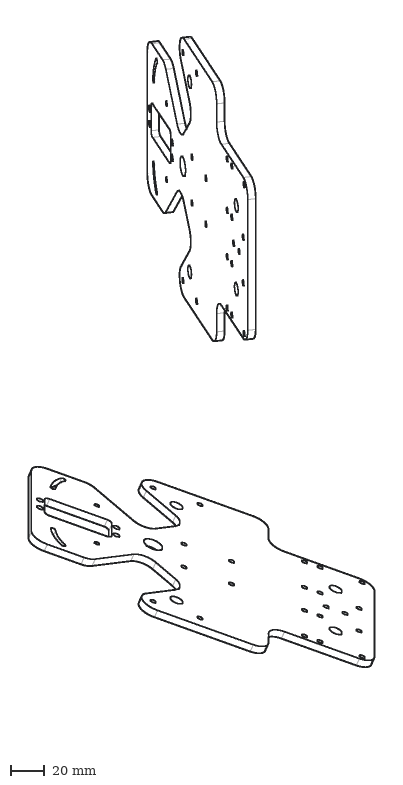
import cadquery as cq
import math

LENGTH = 220.0
WIDTH = 170.0
THICKNESS = 5.0
CORNER_RADIUS = 10.0

HEAD_HALF_WIDTH = 50.0
WING_HALF_WIDTH = WIDTH / 2
WING_END_X = 152.0
TAIL_HALF_WIDTH = 53.0

NOTCH_WIDTH = 38.0
NOTCH_ROOT_X = 72.5
NOTCH_ROOT_Z = 15.2

WINDOW_CENTER_X = 30.0
WINDOW_LENGTH = 43.0
WINDOW_HEIGHT = 22.0
WINDOW_RADIUS = 3.0
WINDOW_HOLE_SPACING_X = 49.0
WINDOW_HOLE_SPACING_Z = 10.0
WINDOW_HOLE_DIAMETER = 4.0

CENTER_HOLE_X = 78.0
CENTER_HOLE_DIAMETER = 12.0

PIVOT_X = 42.0
PIVOT_Z = 25.0
PIVOT_DIAMETER = 3.0
SLOT_RADIUS = 28.25
SLOT_WIDTH = 3.0
SLOT_START_ANGLE = 175.0
SLOT_END_ANGLE = 140.0

LARGE_HOLE_DIAMETER = 8.0
LARGE_HOLES = [(93.0, 62.5), (195.0, 27.5)]

SCREW_HOLE_DIAMETER = 3.4
MIRRORED_SCREW_HOLES = [
    (78.0, 75.0), (108.0, 75.0),
    (97.75, 15.1), (128.25, 15.1),
    (175.0, 49.0), (185.0, 49.0), (212.0, 49.0),
    (175.0, 15.25), (185.0, 15.25),
]
CENTER_SCREW_HOLES = [(189.0, 0.0), (201.0, 0.0)]
OFFSET_PAIR_X = 210.0
OFFSET_PAIR_Z = -1.5
OFFSET_PAIR_SPACING = 30.0
OFFSET_SCREW_HOLES = [
    (OFFSET_PAIR_X, OFFSET_PAIR_Z + side * OFFSET_PAIR_SPACING / 2) for side in (1, -1)
]


def mirrored(points):
    """Add the twin of each point on the other side of the centreline."""
    return points + [(x, -z) for x, z in points]


def extrude_through(sketch):
    """Extrude an XZ sketch from Y = 0 to Y = THICKNESS."""
    return sketch.extrude(-THICKNESS)


def drill(plate, points, diameter):
    holes = cq.Workplane("XZ").pushPoints(points).circle(diameter / 2)
    return plate.cut(extrude_through(holes))


def make_plate():
    notch_step = NOTCH_WIDTH / math.sqrt(2)
    notch_tip_x = NOTCH_ROOT_X + notch_step
    notch_tip_z = NOTCH_ROOT_Z + notch_step
    upper_half = [
        (0, HEAD_HALF_WIDTH),
        (NOTCH_ROOT_X - (HEAD_HALF_WIDTH - NOTCH_ROOT_Z), HEAD_HALF_WIDTH),
        (NOTCH_ROOT_X, NOTCH_ROOT_Z),
        (notch_tip_x, notch_tip_z),
        (notch_tip_x - (WING_HALF_WIDTH - notch_tip_z), WING_HALF_WIDTH),
        (WING_END_X, WING_HALF_WIDTH),
        (WING_END_X, TAIL_HALF_WIDTH),
        (LENGTH, TAIL_HALF_WIDTH),
    ]
    lower_half = [(x, -z) for x, z in reversed(upper_half)]
    outline = cq.Workplane("XZ").polyline(upper_half + lower_half).close()
    return extrude_through(outline).edges("|Y").fillet(CORNER_RADIUS)


def cut_window(plate):
    window = extrude_through(
        cq.Workplane("XZ").center(WINDOW_CENTER_X, 0).rect(WINDOW_LENGTH, WINDOW_HEIGHT)
    )
    plate = plate.cut(window.edges("|Y").fillet(WINDOW_RADIUS))
    holes = [
        (WINDOW_CENTER_X + side_x * WINDOW_HOLE_SPACING_X / 2, side_z * WINDOW_HOLE_SPACING_Z / 2)
        for side_x in (-1, 1)
        for side_z in (-1, 1)
    ]
    return drill(plate, holes, WINDOW_HOLE_DIAMETER)


def point_about_pivot(radius, angle):
    radians = math.radians(angle)
    return (PIVOT_X + radius * math.cos(radians), PIVOT_Z + radius * math.sin(radians))


def cut_arc_slots(plate):
    outer = SLOT_RADIUS + SLOT_WIDTH / 2
    inner = SLOT_RADIUS - SLOT_WIDTH / 2
    middle_angle = (SLOT_START_ANGLE + SLOT_END_ANGLE) / 2
    end_reach = math.degrees(SLOT_WIDTH / 2 / SLOT_RADIUS)
    slot = extrude_through(
        cq.Workplane("XZ")
        .moveTo(*point_about_pivot(outer, SLOT_START_ANGLE))
        .threePointArc(point_about_pivot(outer, middle_angle), point_about_pivot(outer, SLOT_END_ANGLE))
        .threePointArc(
            point_about_pivot(SLOT_RADIUS, SLOT_END_ANGLE - end_reach),
            point_about_pivot(inner, SLOT_END_ANGLE),
        )
        .threePointArc(point_about_pivot(inner, middle_angle), point_about_pivot(inner, SLOT_START_ANGLE))
        .threePointArc(
            point_about_pivot(SLOT_RADIUS, SLOT_START_ANGLE + end_reach),
            point_about_pivot(outer, SLOT_START_ANGLE),
        )
        .close()
    )
    return plate.cut(slot).cut(slot.mirror("XY"))


result = make_plate()
result = cut_window(result)
result = cut_arc_slots(result)
result = drill(result, [(CENTER_HOLE_X, 0)], CENTER_HOLE_DIAMETER)
result = drill(result, mirrored(LARGE_HOLES), LARGE_HOLE_DIAMETER)
result = drill(result, mirrored([(PIVOT_X, PIVOT_Z)]), PIVOT_DIAMETER)
result = drill(result, mirrored(MIRRORED_SCREW_HOLES), SCREW_HOLE_DIAMETER)
result = drill(result, CENTER_SCREW_HOLES + OFFSET_SCREW_HOLES, SCREW_HOLE_DIAMETER)